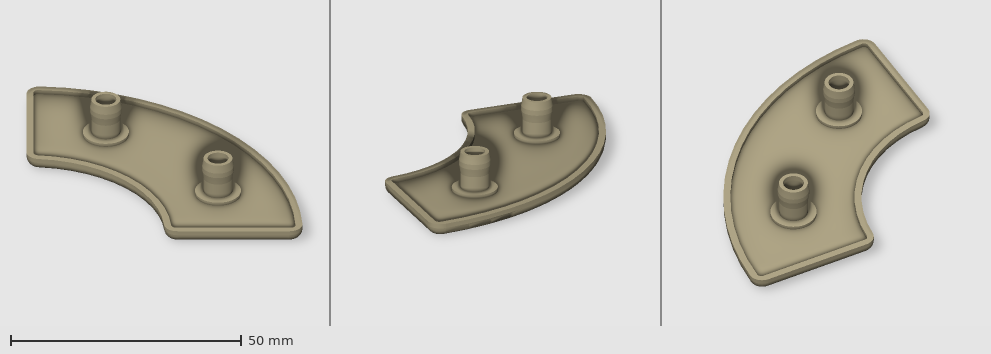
import cadquery as cq
import math

outer_radius = 60.0
inner_radius = outer_radius / 2
start_angle = 67.5
sweep_angle = 90.0
plate_height = 3.0
corner_radius = 2.9
bottom_fillet = 2.0

rim_width = 1.5
recess_corner_radius = 1.0
recess_depth = 1.0
floor_height = plate_height - recess_depth

peg_circle_radius = (outer_radius + inner_radius) / 2
peg_angles = [start_angle + sweep_angle * share for share in (0.25, 0.75)]
pad_diameter = 10.0
pad_height = 0.8
stem_diameter = 6.3
bead_diameter = 6.9
bead_start_height = 6.2
bead_lower_height = 8.0
bead_upper_height = 9.2
peg_top_height = 11.0
root_height = floor_height / 2
bore_diameter = 4.5
bore_bottom_height = floor_height


def polar_point(radius, angle):
    """Return the XY point at a radius and an angle in degrees."""
    radians = math.radians(angle)
    return (radius * math.cos(radians), radius * math.sin(radians))


def ring_sector(inset, height, rounding):
    """Quarter ring with rounded corners, every side moved inward by inset."""
    large = outer_radius - inset
    small = inner_radius + inset
    middle_angle = start_angle + sweep_angle / 2
    end_angle = start_angle + sweep_angle

    large_shift = math.degrees(math.asin(inset / large))
    small_shift = math.degrees(math.asin(inset / small))
    return (
        cq.Workplane("XY")
        .moveTo(*polar_point(small, start_angle + small_shift))
        .lineTo(*polar_point(large, start_angle + large_shift))
        .threePointArc(polar_point(large, middle_angle), polar_point(large, end_angle - large_shift))
        .lineTo(*polar_point(small, end_angle - small_shift))
        .threePointArc(polar_point(small, middle_angle), polar_point(small, start_angle + small_shift))
        .close()
        .extrude(height)
        .edges("|Z")
        .fillet(rounding)
    )


def make_tray():
    """Plate with a rounded underside and a shallow recess on top."""
    plate = ring_sector(0, plate_height, corner_radius).faces("<Z").edges().fillet(bottom_fillet)
    recess = ring_sector(rim_width, recess_depth, recess_corner_radius).translate((0, 0, floor_height))
    return plate.cut(recess)


def make_peg():
    """Pad, stem and tapered bead, revolved about the Z axis."""
    pad_radius = pad_diameter / 2
    stem_radius = stem_diameter / 2
    bead_radius = bead_diameter / 2
    pad_top_height = floor_height + pad_height
    profile = [
        (0, root_height),
        (pad_radius, root_height),
        (pad_radius, pad_top_height),
        (stem_radius, pad_top_height),
        (stem_radius, bead_start_height),
        (bead_radius, bead_lower_height),
        (bead_radius, bead_upper_height),
        (stem_radius, peg_top_height),
        (0, peg_top_height),
    ]
    return cq.Workplane("XZ").polyline(profile).close().revolve(360, (0, 0, 0), (0, 1, 0))


def make_bore():
    """Round bore that ends in a hemispherical bottom."""
    bore_radius = bore_diameter / 2
    dome_center_height = bore_bottom_height + bore_radius
    shaft = (
        cq.Workplane("XY", origin=(0, 0, dome_center_height))
        .circle(bore_radius)
        .extrude(peg_top_height - dome_center_height)
    )
    dome = cq.Workplane("XY", origin=(0, 0, dome_center_height)).sphere(bore_radius)
    return shaft.union(dome)


hollow_peg = make_peg().cut(make_bore())

result = make_tray()
for peg_angle in peg_angles:
    peg_x, peg_y = polar_point(peg_circle_radius, peg_angle)
    result = result.union(hollow_peg.translate((peg_x, peg_y, 0)))